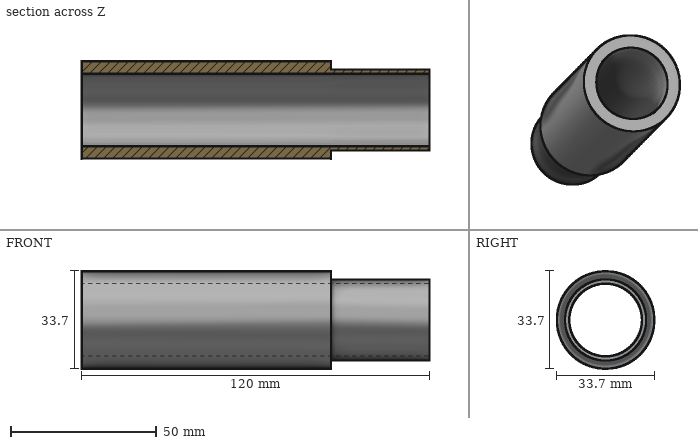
import cadquery as cq

overall_length = 120.0
body_length = 86.0
body_diameter = 33.7
spigot_diameter = 28.0
bore_diameter = 25.0

spigot_length = overall_length - body_length


def cylinder_along_x(start_x, length, diameter):
    """Solid cylinder on the X axis, starting at start_x and running toward +X."""
    return cq.Workplane("YZ").workplane(offset=start_x).circle(diameter / 2).extrude(length)


body_start = -overall_length / 2
spigot_start = body_start + body_length

body = cylinder_along_x(body_start, body_length, body_diameter)
spigot = cylinder_along_x(spigot_start, spigot_length, spigot_diameter)

bore = cylinder_along_x(body_start, overall_length, bore_diameter)

result = body.union(spigot).cut(bore)